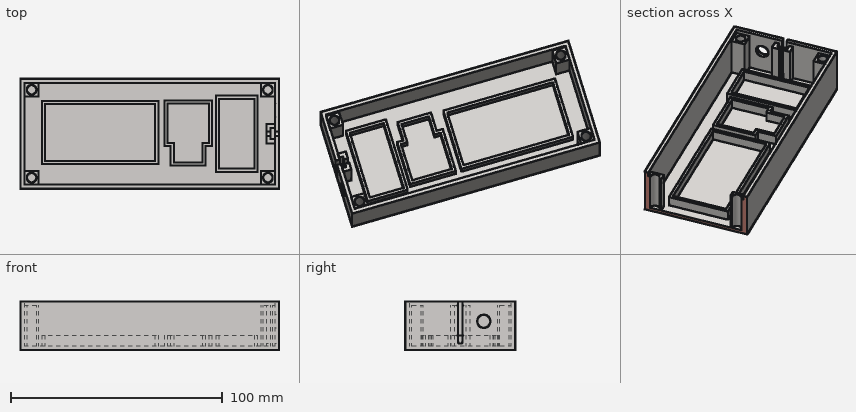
import cadquery as cq

length = 122.0
width = 52.0
height = 23.0
wall = 2.0
floor = 2.0
lid_recess = 2.0
inner_length = length - 2 * wall
inner_width = width - 2 * wall
support_height = height - lid_recess - floor

post_side = 6.5
screw_diameter = 4.5
post_x = (inner_length - post_side) / 2
post_y = (inner_width - post_side) / 2

guide_depth = 4.0
guide_width = 9.2
pocket_depth = 2.0
pocket_width = 5.2
slot_width = 2.2
slot_center_z = 4.1
guide_y = 0.0
end_wall_x = inner_length / 2

opening_diameter = 6.2
opening_y = 11.1
opening_z = 13.6

frame_wall = 1.5
frame_height = 5.0

display_length = 55.0
display_width = 29.8
display_x = -23.45
display_y = 0.55

socket_length = 22.5
socket_neck_length = 16.4
socket_x = 18.1
socket_top_y = 15.65
socket_step_y = -5.8
socket_bottom_y = -15.1

board_length = 19.7
board_width = 36.0
board_x = 41.1
board_y = 0.0


def floor_box(size_x, size_y, size_z):
    """Box centred on X and Y that stands on the housing floor."""
    box = cq.Workplane("XY").box(size_x, size_y, size_z, centered=(True, True, False))
    return box.translate((0, 0, floor))


def make_shell():
    outer = cq.Workplane("XY").box(length, width, height, centered=(True, True, False))
    return outer.cut(floor_box(inner_length, inner_width, height))


def make_posts():
    """Four square posts, each with a screw hole down to the floor."""
    return (
        cq.Workplane("XY", origin=(0, 0, floor))
        .rect(2 * post_x, 2 * post_y, forConstruction=True)
        .vertices()
        .rect(post_side, post_side)
        .extrude(support_height)
        .faces(">Z").workplane(origin=(0, 0, 0))
        .rect(2 * post_x, 2 * post_y, forConstruction=True)
        .vertices()
        .hole(screw_diameter, support_height)
    )


def make_guide():
    block = floor_box(guide_depth, guide_width, support_height)
    block = block.translate((end_wall_x - guide_depth / 2, guide_y, 0))
    pocket = floor_box(pocket_depth, pocket_width, support_height)
    pocket = pocket.translate((end_wall_x - pocket_depth / 2, guide_y, 0))
    return block.cut(pocket)


def make_slot():
    """Cutter for the cable slot through the guide and the +X wall, open at the rim."""
    radius = slot_width / 2
    return (
        cq.Workplane("YZ", origin=(end_wall_x - guide_depth, guide_y, 0))
        .moveTo(-radius, height)
        .lineTo(-radius, slot_center_z)
        .threePointArc((0, slot_center_z - radius), (radius, slot_center_z))
        .lineTo(radius, height)
        .close()
        .extrude(guide_depth + wall)
    )


def make_opening():
    return (
        cq.Workplane("YZ", origin=(end_wall_x, opening_y, opening_z))
        .circle(opening_diameter / 2)
        .extrude(wall)
    )


def make_housing():
    body = make_shell().union(make_posts()).union(make_guide())
    return body.cut(make_slot()).cut(make_opening())


def make_rectangular_frame(size_x, size_y, center_x, center_y):
    outer = floor_box(size_x, size_y, frame_height)
    inner = floor_box(size_x - 2 * frame_wall, size_y - 2 * frame_wall, frame_height)
    return outer.cut(inner).translate((center_x, center_y, 0))


def make_stepped_block(inset):
    """T-shaped block; the inset moves every side inward by the same distance."""
    half_wide = socket_length / 2 - inset
    half_neck = socket_neck_length / 2 - inset
    top = socket_top_y - inset
    step = socket_step_y + inset
    bottom = socket_bottom_y + inset
    return (
        cq.Workplane("XY", origin=(socket_x, 0, floor))
        .polyline([
            (-half_wide, top), (half_wide, top),
            (half_wide, step), (half_neck, step),
            (half_neck, bottom), (-half_neck, bottom),
            (-half_neck, step), (-half_wide, step),
        ])
        .close()
        .extrude(frame_height)
    )


def make_socket_frame():
    return make_stepped_block(0).cut(make_stepped_block(frame_wall))


housing = make_housing()
display_frame = make_rectangular_frame(display_length, display_width, display_x, display_y)
socket_frame = make_socket_frame()
board_frame = make_rectangular_frame(board_length, board_width, board_x, board_y)

result = cq.Compound.makeCompound([
    housing.val(),
    display_frame.val(),
    socket_frame.val(),
    board_frame.val(),
])